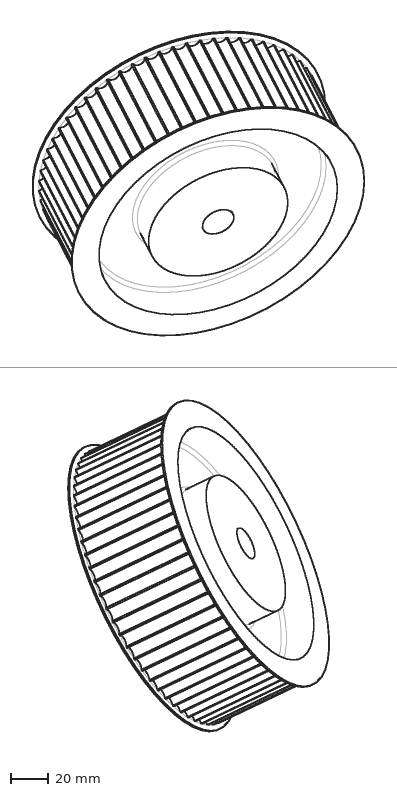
import cadquery as cq
import math

width = 60.0
flange_diameter = 168.0
bore_diameter = 18.0

tooth_count = 64
tip_radius = 80.8
groove_depth = 3.4
tooth_land = 1.0

flange_thickness = 1.5
flange_rim_thickness = 1.0
bevel_start_radius = 81.0

recess_diameter = 137.0
hub_diameter = 80.0
recess_depth = 19.5
fillet_radius = 2.0

half_width = width / 2
flange_radius = flange_diameter / 2
root_radius = tip_radius - groove_depth


def polar(radius, angle):
    return (radius * math.cos(angle), radius * math.sin(angle))


def toothed_rim():
    """Full-width disc with one round-bottomed groove per tooth pitch; a groove is centred on each axis."""
    pitch_angle = 2 * math.pi / tooth_count
    land_angle = tooth_land / tip_radius
    first_land_angle = (pitch_angle - land_angle) / 2
    end_plane = cq.Workplane("YZ", origin=(-half_width, 0, 0))
    outline = end_plane.moveTo(*polar(tip_radius, first_land_angle))
    for tooth in range(tooth_count):
        tooth_angle = (tooth + 0.5) * pitch_angle
        groove_angle = tooth_angle + pitch_angle / 2
        next_land_angle = tooth_angle + pitch_angle - land_angle / 2
        outline = outline.threePointArc(
            polar(tip_radius, tooth_angle), polar(tip_radius, tooth_angle + land_angle / 2)
        )
        outline = outline.threePointArc(
            polar(root_radius, groove_angle), polar(tip_radius, next_land_angle)
        )
    return outline.close().extrude(width)


def flange():
    """Flange at the -X end, revolved about the X axis."""
    outer_face = -half_width
    profile = (
        cq.Workplane("XY")
        .moveTo(outer_face, 0)
        .lineTo(outer_face, flange_radius)
        .lineTo(outer_face + flange_rim_thickness, flange_radius)
        .lineTo(outer_face + flange_thickness, bevel_start_radius)
        .lineTo(outer_face + flange_thickness, 0)
        .close()
    )
    return profile.revolve(360, (0, 0, 0), (1, 0, 0))


def recess():
    """Ring-shaped recess at the -X end, rounded where its walls meet the web."""
    ring = (
        cq.Workplane("YZ", origin=(-half_width, 0, 0))
        .circle(recess_diameter / 2)
        .circle(hub_diameter / 2)
        .extrude(recess_depth)
    )
    return ring.faces(">X").edges().fillet(fillet_radius)


def both_ends(end_body):
    return end_body.union(end_body.mirror("YZ"))


bore = cq.Workplane("YZ", origin=(-half_width, 0, 0)).circle(bore_diameter / 2).extrude(width)

result = toothed_rim().union(both_ends(flange())).cut(both_ends(recess())).cut(bore)